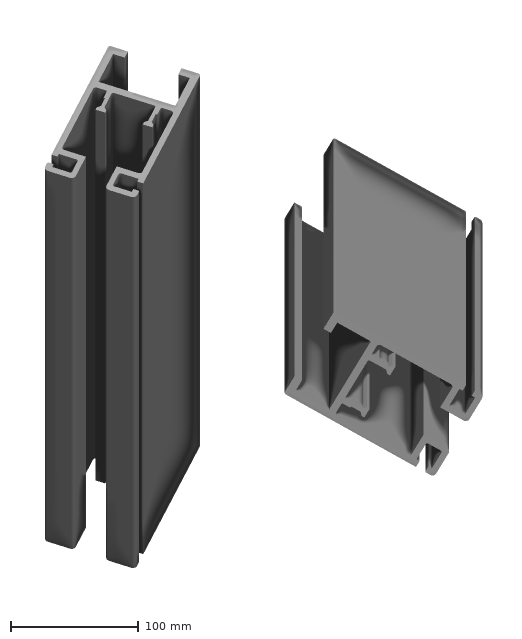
import cadquery as cq

WIDTH = 77.77
DEPTH = 136.48
LENGTH = 457.2

UPPER_WALL = 6.35
LOWER_WALL = 5.08

UPPER_LIP_THICKNESS = 6.8
UPPER_OPENING = 45.4
UPPER_CHANNEL_DEPTH = 30.5

WEB_THICKNESS = 6.0

LOWER_OPENING = 26.0
SHELF_THICKNESS = 5.4
SHELF_TO_BOTTOM = 24.7
INNER_WALL = 4.4
FLOOR_THICKNESS = 5.08
WALL_END_TO_BOTTOM = 16.4
LIP_HEIGHT = 8.2

RIB_CENTER_X = 20.0
RIB_ROOT_OFFSET = 2.8
RIB_STEM_HALF_WIDTH = 1.5
RIB_STEP_DROP = 7.7
RIB_FOOT_HALF_WIDTH = 4.1
RIB_LENGTH = 21.2
RIB_FOOT_EDGE = 2.5
RIB_FOOT_TAPER = 2.5

TOP_CORNER_RADIUS = 1.6
BOTTOM_CORNER_RADIUS = 3.5
LIP_EDGE_RADIUS = 1.0
SLOT_CORNER_RADIUS = 1.6
INSIDE_RADIUS = 2.5
RIB_ROOT_RADIUS = 1.4

OUTER_X = -WIDTH / 2
UPPER_INNER_X = OUTER_X + UPPER_WALL
LOWER_INNER_X = OUTER_X + LOWER_WALL
INNER_WALL_X = -LOWER_OPENING / 2
SLOT_X = INNER_WALL_X - INNER_WALL
TOP_Y = DEPTH / 2
BOTTOM_Y = -DEPTH / 2
UPPER_LIP_Y = TOP_Y - UPPER_LIP_THICKNESS
WEB_TOP_Y = UPPER_LIP_Y - UPPER_CHANNEL_DEPTH
WEB_BOTTOM_Y = WEB_TOP_Y - WEB_THICKNESS
SHELF_TOP_Y = BOTTOM_Y + SHELF_TO_BOTTOM
SHELF_BOTTOM_Y = SHELF_TOP_Y - SHELF_THICKNESS
WALL_END_Y = BOTTOM_Y + WALL_END_TO_BOTTOM
FLOOR_Y = BOTTOM_Y + FLOOR_THICKNESS
LIP_TOP_Y = BOTTOM_Y + LIP_HEIGHT
RIB_INNER_X = -RIB_CENTER_X + RIB_STEM_HALF_WIDTH
RIB_ROOT_X = -RIB_CENTER_X - RIB_ROOT_OFFSET


def extrude_outline(points):
    """Extrude a closed XY outline over the full length, centred on Z = 0."""
    return cq.Workplane("XY").polyline(points).close().extrude(LENGTH / 2, both=True)


def round_corner(body, x, y, radius):
    """Round the lengthwise edge that passes through (x, y)."""
    return body.edges(cq.selectors.NearestToPointSelector((x, y, 0))).fillet(radius)


def make_side():
    """The -X half of the track with half of the web, before the rib is added."""
    return extrude_outline([
        (OUTER_X, TOP_Y),
        (-UPPER_OPENING / 2, TOP_Y),
        (-UPPER_OPENING / 2, UPPER_LIP_Y),
        (UPPER_INNER_X, UPPER_LIP_Y),
        (UPPER_INNER_X, WEB_TOP_Y),
        (0, WEB_TOP_Y),
        (0, WEB_BOTTOM_Y),
        (LOWER_INNER_X, WEB_BOTTOM_Y),
        (LOWER_INNER_X, SHELF_TOP_Y),
        (INNER_WALL_X, SHELF_TOP_Y),
        (INNER_WALL_X, BOTTOM_Y),
        (OUTER_X, BOTTOM_Y),
        (OUTER_X, LIP_TOP_Y),
        (LOWER_INNER_X, LIP_TOP_Y),
        (LOWER_INNER_X, FLOOR_Y),
        (SLOT_X, FLOOR_Y),
        (SLOT_X, SHELF_BOTTOM_Y),
        (LOWER_INNER_X, SHELF_BOTTOM_Y),
        (LOWER_INNER_X, WALL_END_Y),
        (OUTER_X, WALL_END_Y),
    ])


def make_rib():
    """Rib below the web: thick root, thinner stem and a tapered foot."""
    stem_x = -RIB_CENTER_X - RIB_STEM_HALF_WIDTH
    step_y = WEB_BOTTOM_Y - RIB_STEP_DROP
    foot_left = -RIB_CENTER_X - RIB_FOOT_HALF_WIDTH
    foot_right = -RIB_CENTER_X + RIB_FOOT_HALF_WIDTH
    foot_bottom_y = WEB_BOTTOM_Y - RIB_LENGTH
    foot_edge_y = foot_bottom_y + RIB_FOOT_EDGE
    foot_top_y = foot_edge_y + RIB_FOOT_TAPER
    return extrude_outline([
        (RIB_ROOT_X, WEB_TOP_Y),
        (RIB_ROOT_X, step_y),
        (stem_x, step_y),
        (stem_x, foot_top_y),
        (foot_left, foot_edge_y),
        (foot_left, foot_bottom_y),
        (foot_right, foot_bottom_y),
        (foot_right, foot_edge_y),
        (RIB_INNER_X, foot_top_y),
        (RIB_INNER_X, WEB_TOP_Y),
    ])


def round_corners(body):
    """Round the outer and inside corners of the -X half."""
    corners = [
        (OUTER_X, TOP_Y, TOP_CORNER_RADIUS),
        (OUTER_X, BOTTOM_Y, BOTTOM_CORNER_RADIUS),
        (INNER_WALL_X, BOTTOM_Y, BOTTOM_CORNER_RADIUS),
        (OUTER_X, LIP_TOP_Y, LIP_EDGE_RADIUS),
        (LOWER_INNER_X, WEB_BOTTOM_Y, INSIDE_RADIUS),
        (LOWER_INNER_X, SHELF_TOP_Y, INSIDE_RADIUS),
        (SLOT_X, SHELF_BOTTOM_Y, SLOT_CORNER_RADIUS),
        (SLOT_X, FLOOR_Y, SLOT_CORNER_RADIUS),
        (RIB_ROOT_X, WEB_BOTTOM_Y, RIB_ROOT_RADIUS),
        (RIB_INNER_X, WEB_BOTTOM_Y, RIB_ROOT_RADIUS),
    ]
    for x, y, radius in corners:
        body = round_corner(body, x, y, radius)
    return body


half = round_corners(make_side().union(make_rib()))
result = half.union(half.mirror("YZ")).clean()